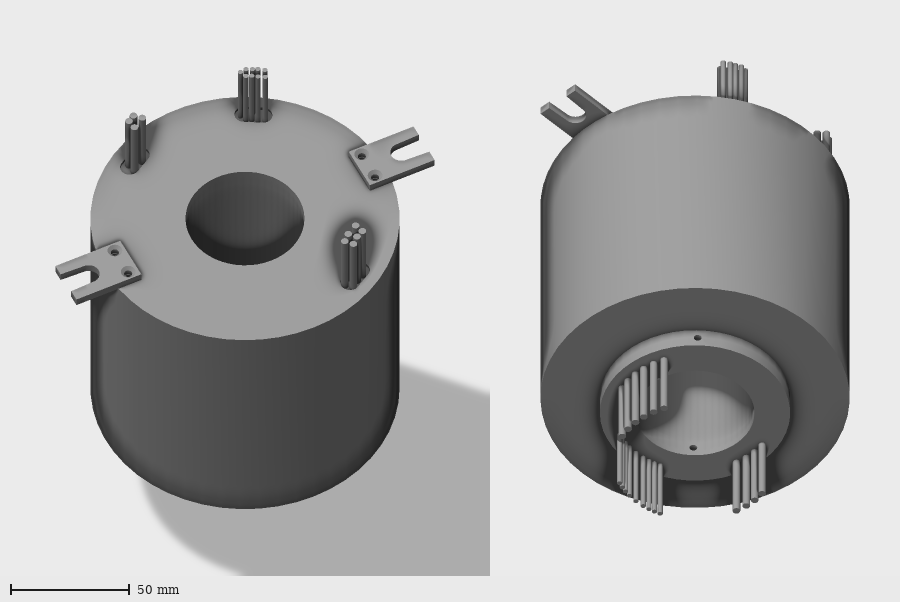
import cadquery as cq
import math

overall_height = 181.8

housing_diameter = 130.0
housing_height = 115.0
lid_diameter = 125.0
rotor_diameter = 70.0
bore_diameter = 50.0
collar_diameter = 80.0
collar_height = 9.0

set_screw_diameter = 3.3
set_screw_angles = (45, 135, 225, 315)

bracket_tip_y = 84.0
bracket_inner_y = 53.6
bracket_width = 20.0
bracket_thickness = 3.8
fork_mouth_width = 10.0
fork_round_radius = 4.6
fork_round_y = 73.3

screw_x = 6.3
screw_y = 57.9
screw_hole_diameter = 3.4
screw_thread_diameter = 2.5
screw_head_diameter = 6.2
screw_sink_angle = 90.0
screw_thread_depth = 8.0
drill_point_angle = 118.0

outlet_radius = 55.6
outlet_width = 8.0
outlet_length = 16.0
outlet_depth = 1.5
outlet_angles = (30, 150, 210)

thick_wire_diameter = 3.2
thin_wire_diameter = 2.2
wire_length = 29.0
upper_wire_length = overall_height - housing_height - collar_height - wire_length
thick_wire_circle_radius = 34.0
thin_wire_circle_radius = 34.2

upper_thick_wires = (
    (44.2, 30.0), (48.1, 31.2), (49.7, 27.9), (46.9, 25.2), (52.6, 24.8), (49.7, 22.2),
    (-47.2, -24.8), (-49.9, -27.6), (-48.1, -30.6), (-44.1, -30.0),
)
upper_thin_wires = (
    (-47.2, 32.7), (-43.8, 31.2), (-49.0, 30.3), (-45.4, 28.6), (-49.9, 28.2),
    (-46.9, 26.4), (-51.1, 25.8), (-47.9, 24.1), (-50.8, 23.0),
)
thick_wire_offsets = (2.4, 7.4, 12.1)
thin_wire_offsets = (0.0, 4.2, 7.2, 9.8, 12.4)


def cylinder(diameter, bottom, height):
    return cq.Workplane("XY", origin=(0, 0, bottom)).circle(diameter / 2).extrude(height)


def ring(outer, inner, bottom, height):
    return cylinder(outer, bottom, height).cut(cylinder(inner, bottom, height))


def housing():
    """Shell, lid and rotor keep separate top faces, so their joints stay visible."""
    shell = ring(housing_diameter, lid_diameter, 0, housing_height)
    lid = ring(lid_diameter, rotor_diameter, 0, housing_height)
    rotor = ring(rotor_diameter, bore_diameter, 0, housing_height)
    collar = ring(collar_diameter, bore_diameter, -collar_height, collar_height)
    return shell.union(lid, clean=False).union(rotor, clean=False).union(collar, clean=False)


def set_screw_holes():
    holes = cq.Workplane("XY")
    for angle in set_screw_angles:
        hole = (
            cq.Workplane("YZ")
            .center(0, -collar_height / 2)
            .circle(set_screw_diameter / 2)
            .extrude(collar_diameter / 2)
            .rotate((0, 0, 0), (0, 0, 1), angle)
        )
        holes = holes.add(hole)
    return holes.combine()


def outlets():
    pockets = cq.Workplane("XY")
    for angle in outlet_angles:
        pocket = (
            cq.Workplane("XY", origin=(0, 0, housing_height - outlet_depth))
            .center(outlet_radius, 0)
            .slot2D(outlet_length, outlet_width, 90)
            .extrude(outlet_depth)
            .rotate((0, 0, 0), (0, 0, 1), angle)
        )
        pockets = pockets.add(pocket)
    return pockets.combine()


def screw_hole():
    """Countersunk hole through the bracket and pointed tapping hole below it, with the
    origin at the bracket's upper face."""
    hole_r = screw_hole_diameter / 2
    head_r = screw_head_diameter / 2
    thread_r = screw_thread_diameter / 2
    sink_depth = (head_r - hole_r) / math.tan(math.radians(screw_sink_angle / 2))
    thread_end = bracket_thickness + screw_thread_depth
    point_length = thread_r / math.tan(math.radians(drill_point_angle / 2))
    return (
        cq.Workplane("XZ")
        .lineTo(head_r, 0)
        .lineTo(hole_r, -sink_depth)
        .lineTo(hole_r, -bracket_thickness)
        .lineTo(thread_r, -bracket_thickness)
        .lineTo(thread_r, -thread_end)
        .lineTo(0, -thread_end - point_length)
        .close()
        .revolve(360, (0, 0, 0), (0, 1, 0))
    )


def bracket():
    """Forked plate on the +Y side."""
    half = bracket_width / 2
    mouth = fork_mouth_width / 2
    return (
        cq.Workplane("XY", origin=(0, 0, housing_height))
        .moveTo(-half, bracket_inner_y)
        .lineTo(half, bracket_inner_y)
        .lineTo(half, bracket_tip_y)
        .lineTo(mouth, bracket_tip_y)
        .lineTo(fork_round_radius, fork_round_y)
        .threePointArc((0, fork_round_y - fork_round_radius), (-fork_round_radius, fork_round_y))
        .lineTo(-mouth, bracket_tip_y)
        .lineTo(-half, bracket_tip_y)
        .close()
        .extrude(bracket_thickness)
    )


def wires(places, diameter, bottom, length):
    return (
        cq.Workplane("XY", origin=(0, 0, bottom))
        .pushPoints(places)
        .circle(diameter / 2)
        .extrude(length)
    )


def mirrored(offsets):
    """Offsets on both sides of zero, each listed once."""
    return sorted({side * offset for offset in offsets for side in (-1, 1)})


def on_circle(radius, offset):
    return math.sqrt(radius**2 - offset**2)


def lower_wires():
    bottom = -collar_height - wire_length
    back = [(x, on_circle(thick_wire_circle_radius, x)) for x in mirrored(thick_wire_offsets)]
    front = [(x, -on_circle(thick_wire_circle_radius, x)) for x in mirrored(thick_wire_offsets[:2])]
    beside = [(on_circle(thin_wire_circle_radius, y), y) for y in mirrored(thin_wire_offsets)]
    thick = wires(back + front, thick_wire_diameter, bottom, wire_length)
    thin = wires(beside, thin_wire_diameter, bottom, wire_length)
    return thick, thin


def wired_body(body):
    outlet_floor = housing_height - outlet_depth
    upper_length = outlet_depth + upper_wire_length
    groups = [
        wires(upper_thick_wires, thick_wire_diameter, outlet_floor, upper_length),
        wires(upper_thin_wires, thin_wire_diameter, outlet_floor, upper_length),
        *lower_wires(),
    ]
    for group in groups:
        body = body.union(group, clean=False)
    return body


def bracketed_body(body):
    for angle in (0, 180):
        body = body.union(bracket().rotate((0, 0, 0), (0, 0, 1), angle), clean=False)
    bracket_top = housing_height + bracket_thickness
    for x in (-screw_x, screw_x):
        for y in (-screw_y, screw_y):
            body = body.cut(screw_hole().translate((x, y, bracket_top)), clean=False)
    return body


body = housing().cut(set_screw_holes(), clean=False).cut(outlets(), clean=False)
result = wired_body(bracketed_body(body))